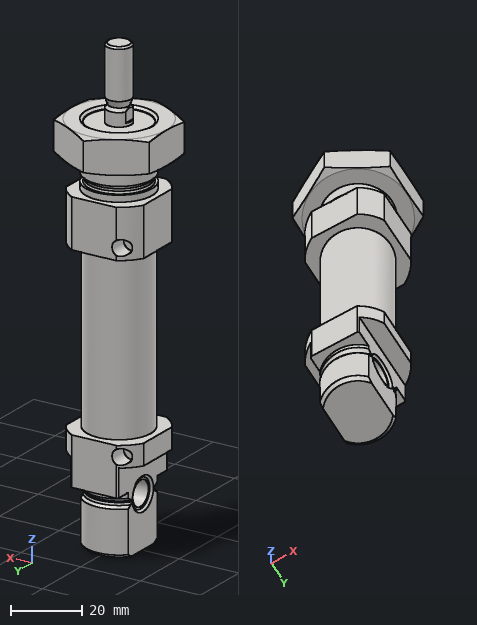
import cadquery as cq
import math

TOTAL_HEIGHT = 152.0

CAP_UNDERCUT_BOTTOM = 15.8
CAP_LEDGE_BOTTOM = 19.9
CAP_BLOCK_BOTTOM = 29.0
CAP_TOP = 35.9
HEAD_BOTTOM = 91.8
HEAD_TOP = 107.9
COLLAR_UNDERCUT_BOTTOM = 110.0
NUT_BOTTOM = 118.0
COLLAR_TOP = 127.8

BLOCK_DIAMETER = 30.0
BLOCK_ACROSS_FLATS = 26.0
TONGUE_WIDTH = 16.0
TUBE_DIAMETER = 21.3
THREAD_DIAMETER = 22.0
END_CHAMFER_DIAMETER = 19.8
NUT_BORE = 20.4

UNDERCUT_BASE_DIAMETER = 20.4
UNDERCUT_FLOOR_DIAMETER = 19.8
UNDERCUT_BASE_HEIGHT = 0.8
CAP_UNDERCUT_FLOOR_HEIGHT = 0.5
COLLAR_UNDERCUT_FLOOR_HEIGHT = 0.8

PIVOT_HEIGHT = 17.0
PIVOT_DIAMETER = 8.0
PIVOT_SEAT_DIAMETER = 9.5
PIVOT_MOUTH_DIAMETER = 11.0

PORT_DIAMETER = 5.0
PORT_X = -8.5
PORT_DEPTH = 6.1
PORT_HEIGHTS = (32.4, 95.6)

NUT_ACROSS_CORNERS = 37.0
NUT_HEIGHT = 11.0
NUT_TOP = NUT_BOTTOM + NUT_HEIGHT
NUT_FACE_DIAMETER = 31.6
NUT_CHAMFER_ANGLE = 15.0

ROD_DIAMETER = 8.0
ROD_BOTTOM = HEAD_BOTTOM
ROD_TIP_CHAMFER = 0.6
ROD_NECK_DIAMETER = 6.4
ROD_NECK_TOP = 135.6
ROD_NECK_WAIST = 133.3
ROD_NECK_BOTTOM = 132.2
ROD_ACROSS_FLATS = 7.0
ROD_FLATS_BOTTOM = 128.9


def cylinder(diameter, bottom, top):
    return cq.Workplane("XY", origin=(0, 0, bottom)).circle(diameter / 2).extrude(top - bottom)


def slab(x_size, y_size, bottom, top):
    return cq.Workplane("XY", origin=(0, 0, bottom)).rect(x_size, y_size).extrude(top - bottom)


def revolved(profile):
    """Turn (radius, height) points around the Z axis."""
    return cq.Workplane("XZ").polyline(profile).close().revolve(360, (0, 0, 0), (0, 1, 0))


def flatted_block(bottom, top):
    """Round block with four flats, facing X and Y."""
    flats = slab(BLOCK_ACROSS_FLATS, BLOCK_ACROSS_FLATS, bottom, top)
    return cylinder(BLOCK_DIAMETER, bottom, top).intersect(flats)


def undercut(bottom, floor_height):
    """Outline points of an undercut, upwards, ending in a 45 degree cone out to the thread."""
    base = UNDERCUT_BASE_DIAMETER / 2
    floor = UNDERCUT_FLOOR_DIAMETER / 2
    outer = THREAD_DIAMETER / 2
    floor_bottom = bottom + UNDERCUT_BASE_HEIGHT
    floor_top = floor_bottom + floor_height
    return [
        (base, bottom),
        (floor, floor_bottom),
        (floor, floor_top),
        (outer, floor_top + outer - floor),
    ]


def cap_shank():
    """Round lower part of the end cap, with a chamfered bottom and a groove."""
    outer = THREAD_DIAMETER / 2
    end = END_CHAMFER_DIAMETER / 2
    groove_side = (THREAD_DIAMETER - UNDERCUT_BASE_DIAMETER) / 2
    return revolved([
        (0, 0),
        (end, 0),
        (outer, outer - end),
        (outer, CAP_UNDERCUT_BOTTOM - groove_side),
        *undercut(CAP_UNDERCUT_BOTTOM, CAP_UNDERCUT_FLOOR_HEIGHT),
        (outer, CAP_LEDGE_BOTTOM),
        (0, CAP_LEDGE_BOTTOM),
    ])


def pivot_hole():
    """Cross hole along X, with a conical mouth and a flat seat on both sides."""
    def x_disc(diameter, x):
        return cq.Workplane("YZ", origin=(x, 0, PIVOT_HEIGHT)).circle(diameter / 2)

    half_width = TONGUE_WIDTH / 2
    mouth_depth = (PIVOT_MOUTH_DIAMETER - PIVOT_SEAT_DIAMETER) / 2
    hole = x_disc(PIVOT_DIAMETER, -half_width).extrude(TONGUE_WIDTH)
    for side in (-1, 1):
        mouth = x_disc(PIVOT_MOUTH_DIAMETER, side * half_width)
        mouth = mouth.workplane(offset=-side * mouth_depth).circle(PIVOT_SEAT_DIAMETER / 2).loft()
        hole = hole.union(mouth)
    return hole


def make_end_cap():
    tongue = flatted_block(CAP_LEDGE_BOTTOM, CAP_BLOCK_BOTTOM).union(cap_shank())
    tongue = tongue.intersect(slab(TONGUE_WIDTH, BLOCK_DIAMETER, 0, CAP_BLOCK_BOTTOM))
    return tongue.cut(pivot_hole()).union(flatted_block(CAP_BLOCK_BOTTOM, CAP_TOP))


def make_collar():
    """Collar above the head: an undercut below the thread, and a neck that fills the nut bore."""
    outer = THREAD_DIAMETER / 2
    neck = NUT_BORE / 2
    return revolved([
        (0, HEAD_TOP),
        (outer, HEAD_TOP),
        (outer, COLLAR_UNDERCUT_BOTTOM),
        *undercut(COLLAR_UNDERCUT_BOTTOM, COLLAR_UNDERCUT_FLOOR_HEIGHT),
        (outer, NUT_BOTTOM),
        (neck, NUT_BOTTOM),
        (neck, COLLAR_TOP),
        (0, COLLAR_TOP),
    ])


def make_housing():
    """End cap, tube, head and collar in one piece, with a hole that fits the rod."""
    housing = (
        make_end_cap()
        .union(cylinder(TUBE_DIAMETER, CAP_TOP, HEAD_BOTTOM))
        .union(flatted_block(HEAD_BOTTOM, HEAD_TOP))
        .union(make_collar())
    )
    for height in PORT_HEIGHTS:
        port = cq.Workplane("XZ", origin=(PORT_X, BLOCK_ACROSS_FLATS / 2, height))
        housing = housing.cut(port.circle(PORT_DIAMETER / 2).extrude(PORT_DEPTH))
    return housing.cut(cylinder(ROD_DIAMETER, ROD_BOTTOM, COLLAR_TOP))


def make_nut():
    """Hexagon nut with corners up along Y, bevelled on both ends."""
    corner_radius = NUT_ACROSS_CORNERS / 2
    face_radius = NUT_FACE_DIAMETER / 2
    bevel = (corner_radius - face_radius) * math.tan(math.radians(NUT_CHAMFER_ANGLE))
    hexagon = (
        cq.Workplane("XY", origin=(0, 0, NUT_BOTTOM))
        .transformed(rotate=(0, 0, 90))
        .polygon(6, 2 * corner_radius)
        .extrude(NUT_HEIGHT)
    )
    bevelled = revolved([
        (0, NUT_BOTTOM),
        (face_radius, NUT_BOTTOM),
        (corner_radius, NUT_BOTTOM + bevel),
        (corner_radius, NUT_TOP - bevel),
        (face_radius, NUT_TOP),
        (0, NUT_TOP),
    ])
    bore_chamfer = (THREAD_DIAMETER - NUT_BORE) / 2
    bore = revolved([
        (0, NUT_BOTTOM),
        (NUT_BORE / 2, NUT_BOTTOM),
        (NUT_BORE / 2, NUT_TOP - bore_chamfer),
        (THREAD_DIAMETER / 2, NUT_TOP),
        (0, NUT_TOP),
    ])
    return hexagon.intersect(bevelled).cut(bore)


def make_rod():
    """Round rod with a chamfered tip, a conical neck and two wrench flats below the neck."""
    radius = ROD_DIAMETER / 2
    neck_radius = ROD_NECK_DIAMETER / 2
    rod = revolved([
        (0, ROD_BOTTOM),
        (radius, ROD_BOTTOM),
        (radius, ROD_NECK_BOTTOM),
        (neck_radius, ROD_NECK_WAIST),
        (radius, ROD_NECK_TOP),
        (radius, TOTAL_HEIGHT - ROD_TIP_CHAMFER),
        (radius - ROD_TIP_CHAMFER, TOTAL_HEIGHT),
        (0, TOTAL_HEIGHT),
    ])
    side = ROD_DIAMETER
    band = slab(2 * side, 2 * side, ROD_FLATS_BOTTOM, ROD_NECK_WAIST)
    return rod.cut(band.cut(slab(ROD_ACROSS_FLATS, 2 * side, ROD_FLATS_BOTTOM, ROD_NECK_WAIST)))


rod = make_rod()
housing = make_housing()
nut = make_nut()

result = cq.Compound.makeCompound([housing.val(), nut.val(), rod.val()])